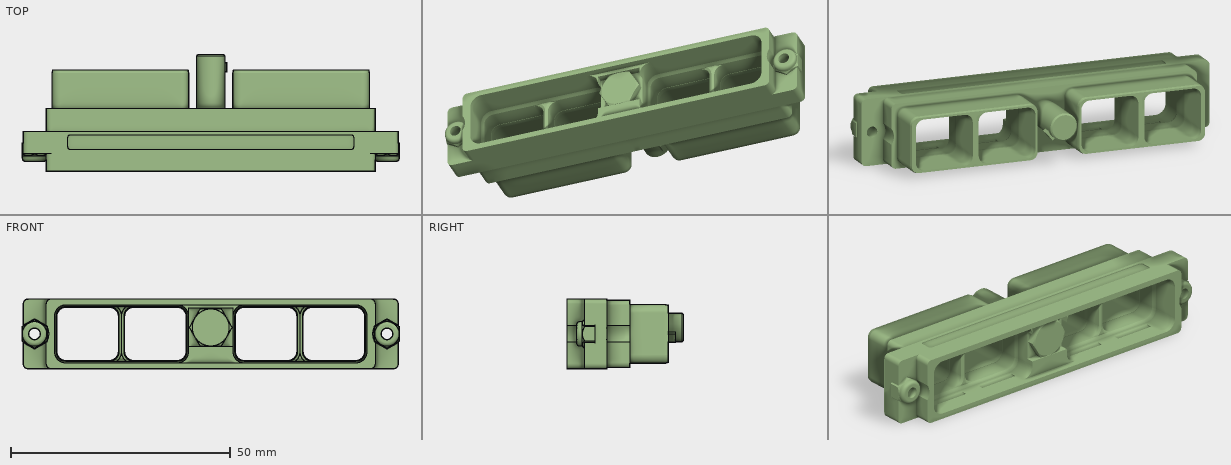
import cadquery as cq
import math


FLANGE_FRONT = 4.0
FLANGE_REAR = 9.1
BODY_REAR = 14.4
SHELL_TAPER_START = 22.4
SHELL_REAR = 23.1
STUD_REAR = 26.7

LENGTH = 86.0
HEIGHT = 15.9
FLANGE_LENGTH = 85.5
BODY_LENGTH = 75.0
REAR_BODY_HEIGHT = 15.4
OUTER_RADIUS = 1.1

SHELL_INNER_X = 5.0
SHELL_OUTER_X = 36.2
SHELL_HEIGHT = 13.4
SHELL_RADIUS = 1.9
SHELL_END_INSET = 0.2

CAVITY_HALF_LENGTH = 35.6
CAVITY_HEIGHT = 13.25
CAVITY_RADIUS = 2.6
CAVITY_FLOOR_Y = 6.8
BLOCK_HALF_WIDTH = 5.1
BLOCK_FRONT = 1.7
FLARE_INSET = 0.39
FLARE_DEPTH = 0.95
BAY_LENGTH = CAVITY_HALF_LENGTH - BLOCK_HALF_WIDTH
BAY_CENTER_X = BLOCK_HALF_WIDTH + BAY_LENGTH / 2

DIVIDER_FRONT = CAVITY_FLOOR_Y + FLARE_DEPTH
DIVIDER_THICKNESS = 1.1
DIVIDER_EDGE_DEPTH = 0.35
WINDOW_LENGTH = (BAY_LENGTH - DIVIDER_THICKNESS) / 2 - FLARE_INSET
WINDOW_HEIGHT = CAVITY_HEIGHT - 2 * FLARE_INSET
WINDOW_RADIUS = CAVITY_RADIUS - FLARE_INSET
WINDOW_PITCH = WINDOW_LENGTH + DIVIDER_THICKNESS
STEP_FRONT = 12.0
STEP_INSET = 0.1
STEP_RAMP_INSET = 0.1
STEP_RAMP_DEPTH = 0.95

SLOT_LENGTH = 9.7
SLOT_CENTER_X = 20.0
SLOT_PITCH = 14.5
SLOT_FRONT = 4.4
SLOT_REAR = 6.0
SLOT_DEPTH = 0.4

STUD_Z = 1.5
STUD_RADIUS = 3.3
STUD_CHAMFER = 0.35
HEAD_ACROSS_FLATS = 8.4
HEAD_CHAMFER_DEPTH = 0.35
RECESS_REAR = 3.5
RECESS_TOP = 5.85
RECESS_BOTTOM = -2.8
KEY_FRONT = 22.7
KEY_REAR = 24.8
KEY_REACH = 3.8
KEY_WIDTH = 2.5
KEY_ANGLE = 40.0

NUT_CORNER_RADIUS = 3.3
NUT_X = LENGTH / 2 - NUT_CORNER_RADIUS * math.cos(math.radians(30))
NUT_REAR = 6.45
NUT_SHOULDER = 3.5
NUT_FRONT = 2.2
NUT_COLLAR_RADIUS = 2.795
NUT_COLLAR_FILLET = 0.8
NUT_BORE_RADIUS = 1.3
NUT_POCKET_CORNER_RADIUS = 3.4
NUT_CLEARANCE_RADIUS = 3.3

LABEL_LENGTH = 65.2
LABEL_FRONT = 5.0
LABEL_REAR = 8.3
LABEL_RADIUS = 0.6
LABEL_DEPTH = 0.3

SIDES = (-1, 1)


def plane_at(x, y, z):
    """Workplane facing the front; negative extrusion runs toward the rear."""
    return cq.Workplane("XZ", origin=(x, y, z))


def rounded_block(x, length, height, radius, y_front, y_rear):
    """Block centred on z = 0 with its four edges along Y rounded."""
    block = plane_at(x, y_front, 0).rect(length, height).extrude(y_front - y_rear)
    return block.edges("|Y").fillet(radius)


def cylinder(x, z, radius, y_front, y_rear):
    return plane_at(x, y_front, z).circle(radius).extrude(y_front - y_rear)


def hexagon(x, z, corner_radius, y_front, y_rear, first_corner_angle):
    """Hexagonal prism along Y with one corner at the given angle from +X."""
    angles = [math.radians(first_corner_angle + 60 * i) for i in range(6)]
    corners = [(corner_radius * math.cos(a), corner_radius * math.sin(a)) for a in angles]
    return plane_at(x, y_front, z).polyline(corners).close().extrude(y_front - y_rear)


def cone(x, z, front_radius, rear_radius, y_front, y_rear):
    front = plane_at(x, y_front, z).circle(front_radius)
    return front.workplane(offset=y_front - y_rear).circle(rear_radius).loft()


def narrow_rearward(solid, inset, depth):
    """Extension of a prism from its rear face that shrinks by the inset over the depth."""
    taper = math.degrees(math.atan2(inset, depth))
    return solid.faces(">Y").wires().toPending().workplane().extrude(depth, taper=taper)


def outer_body():
    body = rounded_block(0, BODY_LENGTH, HEIGHT, OUTER_RADIUS, 0, FLANGE_REAR)
    body = body.union(rounded_block(0, BODY_LENGTH, REAR_BODY_HEIGHT, OUTER_RADIUS, FLANGE_FRONT, BODY_REAR))
    for side in SIDES:
        body = body.cut(cylinder(side * NUT_X, 0, NUT_CLEARANCE_RADIUS, 0, BODY_REAR))
    return body.union(rounded_block(0, FLANGE_LENGTH, HEIGHT, OUTER_RADIUS, FLANGE_FRONT, FLANGE_REAR))


def shell(side):
    length = SHELL_OUTER_X - SHELL_INNER_X
    x = side * (SHELL_OUTER_X + SHELL_INNER_X) / 2
    straight = rounded_block(x, length, SHELL_HEIGHT, SHELL_RADIUS, FLANGE_REAR, SHELL_TAPER_START)
    taper = narrow_rearward(straight, SHELL_END_INSET, SHELL_REAR - SHELL_TAPER_START)
    return straight.union(taper)


def window(x):
    """Opening to the rear with a wide mouth at the divider edge and a small ramped step inside."""
    def passage(growth, y_front, y_rear):
        return rounded_block(x, WINDOW_LENGTH + 2 * growth, WINDOW_HEIGHT + 2 * growth,
                             WINDOW_RADIUS + growth, y_front, y_rear)

    edge_inset = DIVIDER_THICKNESS / 2
    mouth = narrow_rearward(passage(edge_inset, CAVITY_FLOOR_Y, DIVIDER_FRONT), edge_inset, DIVIDER_EDGE_DEPTH)
    ramp = narrow_rearward(passage(-STEP_INSET, DIVIDER_FRONT, STEP_FRONT), STEP_RAMP_INSET, STEP_RAMP_DEPTH)
    front = passage(0, DIVIDER_FRONT, STEP_FRONT)
    rear = passage(-STEP_INSET - STEP_RAMP_INSET, STEP_FRONT, SHELL_REAR)
    return mouth.union(front).union(ramp).union(rear)


def floor_slot(x):
    """Wedge cut into the cavity floor, deepest at its front edge and running out at the rear."""
    floor_z = -CAVITY_HEIGHT / 2
    profile = cq.Workplane("YZ", origin=(x, 0, 0))
    profile = profile.moveTo(SLOT_FRONT, floor_z).lineTo(SLOT_FRONT, floor_z - SLOT_DEPTH)
    return profile.lineTo(SLOT_REAR, floor_z).close().extrude(SLOT_LENGTH / 2, both=True)


def bay(side):
    """Pocket on one side of the central block with two windows and two floor slots."""
    center = side * BAY_CENTER_X
    pocket = rounded_block(center, BAY_LENGTH, CAVITY_HEIGHT, CAVITY_RADIUS, BLOCK_FRONT, CAVITY_FLOOR_Y)
    cut = pocket.union(narrow_rearward(pocket, FLARE_INSET, FLARE_DEPTH))
    throat = rounded_block(center, BAY_LENGTH - 2 * FLARE_INSET, WINDOW_HEIGHT, WINDOW_RADIUS,
                           DIVIDER_FRONT, SHELL_REAR)
    for step in (-0.5, 0.5):
        cut = cut.union(window(center + step * WINDOW_PITCH).intersect(throat))
        cut = cut.union(floor_slot(side * SLOT_CENTER_X + step * SLOT_PITCH))
    return cut


def front_cavity():
    return rounded_block(0, 2 * CAVITY_HALF_LENGTH, CAVITY_HEIGHT, CAVITY_RADIUS, 0, BLOCK_FRONT)


def block_recess():
    recess = plane_at(0, BLOCK_FRONT, (RECESS_TOP + RECESS_BOTTOM) / 2)
    recess = recess.rect(2 * BLOCK_HALF_WIDTH, RECESS_TOP - RECESS_BOTTOM)
    return recess.extrude(BLOCK_FRONT - RECESS_REAR)


def stud():
    apothem = HEAD_ACROSS_FLATS / 2
    corner_radius = apothem / math.cos(math.radians(30))
    head = hexagon(0, STUD_Z, corner_radius, BLOCK_FRONT, RECESS_REAR, 0)
    chamfer_rear = BLOCK_FRONT + HEAD_CHAMFER_DEPTH
    envelope = cone(0, STUD_Z, apothem, corner_radius, BLOCK_FRONT, chamfer_rear)
    envelope = envelope.union(cylinder(0, STUD_Z, corner_radius, chamfer_rear, RECESS_REAR))
    shank = cylinder(0, STUD_Z, STUD_RADIUS, RECESS_REAR, STUD_REAR).faces(">Y").chamfer(STUD_CHAMFER)
    key = plane_at(0, KEY_FRONT, STUD_Z).center(KEY_REACH / 2, 0).rect(KEY_REACH, KEY_WIDTH)
    key = key.extrude(KEY_FRONT - KEY_REAR).rotate((0, 0, STUD_Z), (0, 1, STUD_Z), KEY_ANGLE)
    return head.intersect(envelope).union(shank).union(key)


def nut_pocket(side):
    pocket = hexagon(side * NUT_X, 0, NUT_POCKET_CORNER_RADIUS, FLANGE_FRONT, NUT_REAR, 90)
    return pocket.union(cylinder(side * NUT_X, 0, NUT_BORE_RADIUS, FLANGE_FRONT, FLANGE_REAR))


def nut(side):
    x = side * NUT_X
    nut_hex = hexagon(x, 0, NUT_CORNER_RADIUS, NUT_SHOULDER, NUT_REAR, 90)
    envelope = cone(x, 0, NUT_COLLAR_RADIUS, NUT_CORNER_RADIUS, NUT_SHOULDER, FLANGE_FRONT)
    envelope = envelope.union(cylinder(x, 0, NUT_CORNER_RADIUS, FLANGE_FRONT, NUT_REAR))
    collar = cylinder(x, 0, NUT_COLLAR_RADIUS, NUT_FRONT, NUT_SHOULDER)
    collar = collar.faces("<Y").edges().fillet(NUT_COLLAR_FILLET)
    bore = cylinder(x, 0, NUT_BORE_RADIUS, NUT_FRONT, NUT_REAR)
    return nut_hex.intersect(envelope).union(collar).cut(bore)


def label_panel():
    panel = cq.Workplane("XY", origin=(0, (LABEL_FRONT + LABEL_REAR) / 2, HEIGHT / 2))
    panel = panel.rect(LABEL_LENGTH, LABEL_REAR - LABEL_FRONT).extrude(-LABEL_DEPTH)
    return panel.edges("|Z").fillet(LABEL_RADIUS)


result = outer_body()
for side in SIDES:
    result = result.union(shell(side))
result = result.cut(front_cavity())
for side in SIDES:
    result = result.cut(bay(side))
result = result.cut(block_recess()).cut(label_panel()).union(stud())
for side in SIDES:
    result = result.cut(nut_pocket(side)).union(nut(side))